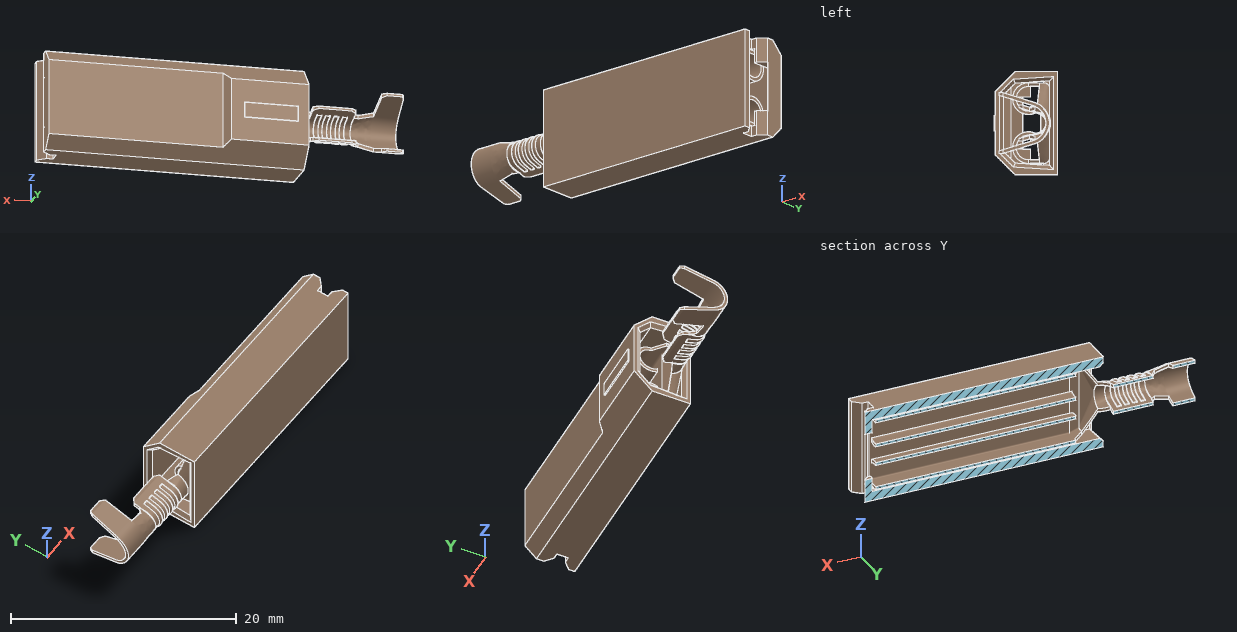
import cadquery as cq
import math


total_length = 32.8
housing_start = 9.1
housing_half_width = 4.6
housing_depth = 5.55
corner_bevel = 1.77
slim_depth = 4.92
step_start = 16.23
step_run = 0.62

pad_start = 10.13
pad_length = 4.92
pad_half_width = 0.7
pad_height = 0.13

wall = 0.75
cavity_floor = 0.72
cavity_floor_half_width = 3.75
cavity_shoulder_half_width = 3.55
cavity_shoulder = 3.77
mouth_bevel = 0.35
end_wall_start = 31.8
window_half_width = 2.3
window_top = 3.08

notch_floor = 1.28
notch_top = 2.4
notch_flat_start = 31.48
notch_flare_start = 32.07
notch_flare = 0.65

sheet = 0.33
contact_floor = cavity_floor
arm_angle = math.radians(17)

grip_radius = 1.95
grip_end = 2.3
grip_shoulder = 4.85
grip_shoulder_start = 0.3
grip_tip = 5.2
grip_tip_start = 0.5
grip_tip_end = 1.9

crimp_start = 4.2
crimp_end = 8.13
crimp_radius = 1.18
crimp_shoulder = 3.08
crimp_tip = 3.45
crimp_tip_bevel = 0.45

rib_count = 4
rib_first = 5.0
rib_pitch = 0.8
rib_width = 0.43
rib_height = 0.1
rib_top = 2.4

neck_radius = 1.35
neck_rim = 2.0
neck_rim_rise = 0.5
throat_x = 9.18
throat_radius = 1.6
throat_flat = 0.05
throat_start_rim = 2.25
throat_rim = 1.85

flare_end = 10.65
contact_corner = 0.5
flare_rim = 1.6

receptacle_start = 11.8
receptacle_end = 31.48
roll_radius = 1.4
roll_center_y = 2.6
roll_center_z = 2.15
roll_tip_y = 1.97
receptacle_floor = roll_center_y - roll_radius
receptacle_half_width = roll_center_z + roll_radius


def prism_x(points, x_start, x_end):
    """Extrude a closed (y, z) outline along X."""
    return cq.Workplane("YZ", origin=(x_start, 0, 0)).polyline(points).close().extrude(x_end - x_start)


def prism_z(points, half_width):
    """Extrude a closed (x, y) outline along Z, to both sides of the plane of symmetry."""
    return cq.Workplane("XY").polyline(points).close().extrude(half_width, both=True)


def box_between(x_range, y_range, z_range):
    size = [high - low for low, high in (x_range, y_range, z_range)]
    corner = (x_range[0], y_range[0], z_range[0])
    return cq.Workplane("XY").box(*size, centered=False).translate(corner)


def housing_block():
    bevel_start = housing_depth - corner_bevel
    bevel_half_width = housing_half_width - corner_bevel
    half = [(0, housing_half_width), (bevel_start, housing_half_width), (housing_depth, bevel_half_width)]
    outline = half + [(y, -z) for y, z in reversed(half)]
    block = prism_x(outline, housing_start, total_length)
    step = prism_z([
        (step_start, housing_depth),
        (step_start + step_run, slim_depth),
        (total_length, slim_depth),
        (total_length, housing_depth),
    ], housing_half_width)
    pad = box_between(
        (pad_start, pad_start + pad_length),
        (housing_depth - pad_height, housing_depth + pad_height),
        (-pad_half_width, pad_half_width),
    )
    return block.cut(step).union(pad)


def cavity_outline(back):
    """Six-sided (y, z) cavity outline with 45 degree back corners."""
    back_half_width = cavity_shoulder_half_width - (back - cavity_shoulder)
    half = [
        (cavity_floor, cavity_floor_half_width),
        (cavity_shoulder, cavity_shoulder_half_width),
        (back, back_half_width),
    ]
    return half + [(y, -z) for y, z in reversed(half)]


def cavity():
    deep_back = slim_depth - wall
    front_back = housing_depth - wall
    front = prism_x(cavity_outline(front_back), housing_start, step_start)
    deep = prism_x(cavity_outline(deep_back), housing_start, end_wall_start)
    mouth = (
        cq.Workplane("YZ", origin=(housing_start, 0, 0))
        .polyline(cavity_outline(front_back)).close()
        .offset2D(mouth_bevel, "intersection")
        .workplane(offset=mouth_bevel)
        .polyline(cavity_outline(front_back)).close()
        .loft(ruled=True, combine=True)
    )
    return front.union(deep).union(mouth)


def end_notch():
    return prism_z([
        (notch_flat_start, notch_floor),
        (notch_flare_start, notch_floor),
        (total_length, notch_floor - notch_flare),
        (total_length, notch_top + notch_flare),
        (notch_flare_start, notch_top),
        (notch_flat_start, notch_top),
    ], housing_half_width)


def end_window():
    """Opening through the end wall; its back side slopes in from the cavity back."""
    return prism_z([
        (end_wall_start, notch_floor),
        (end_wall_start, slim_depth - wall),
        (total_length, window_top),
        (total_length, notch_floor),
    ], window_half_width)


def make_housing():
    return housing_block().cut(cavity()).cut(end_notch()).cut(end_window())


def arm_half_width(center_y, radius, y):
    """Half width at height y of the straight arms that leave a round bottom tangentially."""
    tangent_y = center_y - radius * math.sin(arm_angle)
    return radius * math.cos(arm_angle) + (y - tangent_y) * math.tan(arm_angle)


def barrel_core(center_y, radius, tip_y, x_start, x_end):
    """Solid U: a round bottom with two straight sides that lean outward up to tip_y."""
    side_y = center_y - radius * math.sin(arm_angle)
    side_z = radius * math.cos(arm_angle)
    tip_z = arm_half_width(center_y, radius, tip_y)
    return (
        cq.Workplane("YZ", origin=(x_start, 0, 0))
        .moveTo(tip_y, -tip_z)
        .lineTo(side_y, -side_z)
        .threePointArc((center_y - radius, 0), (side_y, side_z))
        .lineTo(tip_y, tip_z)
        .close()
        .extrude(x_end - x_start)
    )


def open_barrel(radius, side_outline, shoulder, tip_y):
    """Bent sheet U cut to its side outline, with flats outside the arms above the shoulder."""
    center_y = contact_floor + radius
    x_start = min(x for x, y in side_outline)
    x_end = max(x for x, y in side_outline)
    outer = barrel_core(center_y, radius, tip_y, x_start, x_end)
    inner = barrel_core(center_y, radius - sheet, tip_y, x_start, x_end)
    keep = prism_z(side_outline, arm_half_width(center_y, radius, shoulder))
    return outer.cut(inner).intersect(keep)


def insulation_grip():
    return open_barrel(grip_radius, [
        (0, contact_floor),
        (0, contact_floor + grip_radius / 2),
        (grip_shoulder_start, grip_shoulder),
        (grip_tip_start, grip_tip),
        (grip_tip_end, grip_tip),
        (grip_end, grip_shoulder),
        (grip_end, contact_floor),
    ], grip_shoulder, grip_tip)


def wire_crimp():
    crimp = open_barrel(crimp_radius, [
        (crimp_start, contact_floor),
        (crimp_start, crimp_shoulder),
        (crimp_start + crimp_tip_bevel, crimp_tip),
        (crimp_end - crimp_tip_bevel, crimp_tip),
        (crimp_end, crimp_shoulder),
        (crimp_end, contact_floor),
    ], crimp_shoulder, crimp_tip)
    center_y = contact_floor + crimp_radius
    rib_radius = crimp_radius + rib_height
    for index in range(rib_count):
        middle = rib_first + index * rib_pitch
        span = (middle - rib_width / 2, middle + rib_width / 2)
        rib = barrel_core(center_y, rib_radius, rib_top, *span)
        rib = rib.edges("#X").edges("not >Y").fillet(rib_height)
        groove = barrel_core(center_y, rib_radius - sheet, rib_top, *span)
        crimp = crimp.union(rib).cut(groove)
    return crimp


def channel_wire(x, half_width, floor, corner, inset):
    """Closed (y, z) channel section; the bottom is one arc when the corners meet."""
    y = floor + inset
    z = half_width - inset
    r = corner - inset
    wire = cq.Workplane("YZ", origin=(x, 0, 0)).moveTo(crimp_tip, -z).lineTo(y + r, -z)
    if corner == half_width:
        wire = wire.threePointArc((y, 0), (y + r, z))
    else:
        d = r * (1 - math.sqrt(0.5))
        wire = (
            wire.threePointArc((y + d, d - z), (y, r - z))
            .lineTo(y, z - r)
            .threePointArc((y + d, z - d), (y + r, z))
        )
    return wire.lineTo(crimp_tip, z).close().val()


def channel(start, end, rim):
    """Sheet channel between two (x, half width, floor, corner radius) sections, cut to its (x, y) rim."""
    outer, inner = [
        cq.Workplane(cq.Solid.makeLoft([channel_wire(*start, inset), channel_wire(*end, inset)], True))
        for inset in (0, sheet)
    ]
    keep = prism_z([(start[0], 0), *rim, (end[0], 0)], housing_half_width)
    return outer.cut(inner).intersect(keep)


def neck():
    start = (grip_end, grip_radius, contact_floor, grip_radius)
    end = (crimp_start, neck_radius, contact_floor, neck_radius)
    return channel(start, end, [
        (grip_end, neck_rim),
        (crimp_start - neck_rim_rise, neck_rim),
        (crimp_start, neck_rim + neck_rim_rise),
    ])


def throat():
    start = (crimp_end, neck_radius, contact_floor, neck_radius)
    end = (throat_x, throat_radius, contact_floor, throat_radius)
    return channel(start, end, [(crimp_end, throat_start_rim), (throat_x, throat_rim)])


def flare():
    """Spreads the round throat to the flat receptacle width, then lifts the floor to the receptacle."""
    round_corner = throat_radius - throat_flat / 2
    start = (throat_x, throat_radius, contact_floor, round_corner)
    middle = (flare_end, receptacle_half_width, contact_floor, contact_corner)
    end = (receptacle_start, receptacle_half_width, receptacle_floor, contact_corner)
    spread = channel(start, middle, [(throat_x, throat_rim), (flare_end, flare_rim)])
    lift = channel(middle, end, [(flare_end, flare_rim), (receptacle_start, roll_center_y)])
    return spread.union(lift)


def receptacle():
    """Flat-floored channel whose walls roll inward; the roll tips stop above the floor."""
    span = (receptacle_start, receptacle_end)
    start, end = [(x, receptacle_half_width, receptacle_floor, contact_corner) for x in span]
    body = channel(start, end, [(x, roll_center_y) for x in span])
    for side in (-1, 1):
        middle = side * roll_center_z
        roll = (
            cq.Workplane("YZ", origin=(receptacle_start, 0, 0))
            .center(roll_center_y, middle)
            .circle(roll_radius)
            .circle(roll_radius - sheet)
            .extrude(receptacle_end - receptacle_start)
        )
        below_tip = box_between(span, (receptacle_floor, roll_tip_y), sorted((0, middle)))
        wall_side = sorted((middle, side * receptacle_half_width))
        below_wall_top = box_between(span, (receptacle_floor, roll_center_y), wall_side)
        body = body.union(roll.cut(below_tip).cut(below_wall_top))
    return body


def make_contact():
    body = insulation_grip()
    for section in (neck(), wire_crimp(), throat(), flare(), receptacle()):
        body = body.union(section)
    return body


housing = make_housing()
contact = make_contact()
result = cq.Compound.makeCompound([housing.solids().val(), contact.solids().val()])